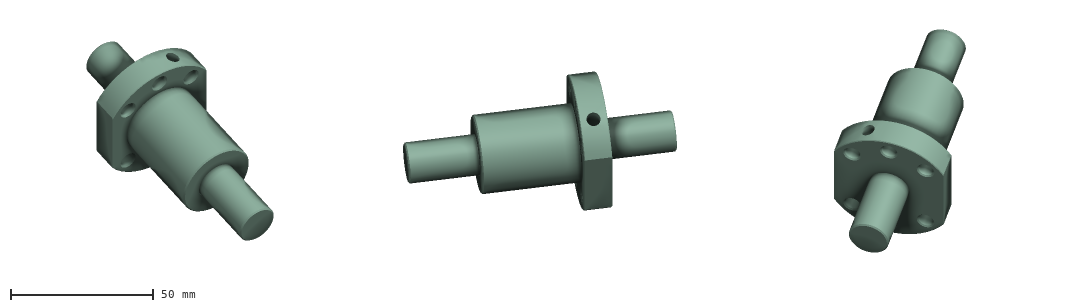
import cadquery as cq
import math

shaft_length = 95.0
shaft_diameter = 14.5
shaft_chamfer = 0.5

shaft_overhang = 25.0
nut_start = -shaft_length / 2 + shaft_overhang
nut_length = 45.0
body_diameter = 28.0
body_chamfer = 0.5

flange_diameter = 48.0
flange_width = 40.0
flange_thickness = 10.0
flange_chamfer = 0.3

bore_clearance = 0.24
bore_diameter = shaft_diameter + 2 * bore_clearance

bolt_circle_radius = 19.0
bolt_hole_diameter = 5.5
bolt_hole_chamfer = 0.5
bolt_angles = [-45, 0, 45, 135, 180, 225]

oil_hole_diameter = 4.9
oil_hole_angle = 22.5

flange_middle = nut_start + flange_thickness / 2


def disc(start, length, diameter):
    """Cylinder along X, starting at the given X position."""
    return cq.Workplane("YZ", origin=(start, 0, 0)).circle(diameter / 2).extrude(length)


def chamfered_cutter(start, length, diameter, chamfer):
    """Cutter along X for a through hole with a chamfer at each mouth."""
    radius = diameter / 2
    mouth_radius = radius + chamfer
    end = start + length
    return (
        cq.Workplane("XY")
        .moveTo(start, 0)
        .lineTo(start, mouth_radius)
        .lineTo(start + chamfer, radius)
        .lineTo(end - chamfer, radius)
        .lineTo(end, mouth_radius)
        .lineTo(end, 0)
        .close()
        .revolve(360, (0, 0, 0), (1, 0, 0))
    )


def make_flange():
    flange = disc(nut_start, flange_thickness, flange_diameter).edges().chamfer(flange_chamfer)
    flats = cq.Workplane("XY", origin=(flange_middle, 0, 0)).box(
        flange_thickness, flange_width, flange_diameter
    )
    return flange.intersect(flats)


def make_body():
    return disc(nut_start, nut_length, body_diameter).faces(">X").chamfer(body_chamfer)


def cut_bolt_holes(nut):
    cutter = chamfered_cutter(nut_start, flange_thickness, bolt_hole_diameter, bolt_hole_chamfer)
    for angle in bolt_angles:
        y = bolt_circle_radius * math.sin(math.radians(angle))
        z = bolt_circle_radius * math.cos(math.radians(angle))
        nut = nut.cut(cutter.translate((0, y, z)))
    return nut


def cut_oil_hole(nut):
    """Drill from the flange rim to the bore."""
    cutter = (
        cq.Workplane("XY", origin=(flange_middle, 0, 0))
        .circle(oil_hole_diameter / 2)
        .extrude(flange_diameter / 2)
        .rotate((0, 0, 0), (1, 0, 0), -oil_hole_angle)
    )
    return nut.cut(cutter)


def make_nut():
    nut = make_flange().union(make_body())
    nut = nut.cut(disc(nut_start, nut_length, bore_diameter))
    nut = cut_bolt_holes(nut)
    return cut_oil_hole(nut)


def make_shaft():
    return disc(-shaft_length / 2, shaft_length, shaft_diameter).faces("<X or >X").chamfer(shaft_chamfer)


nut = make_nut()
shaft = make_shaft()

result = cq.Compound.makeCompound([nut.val(), shaft.val()])